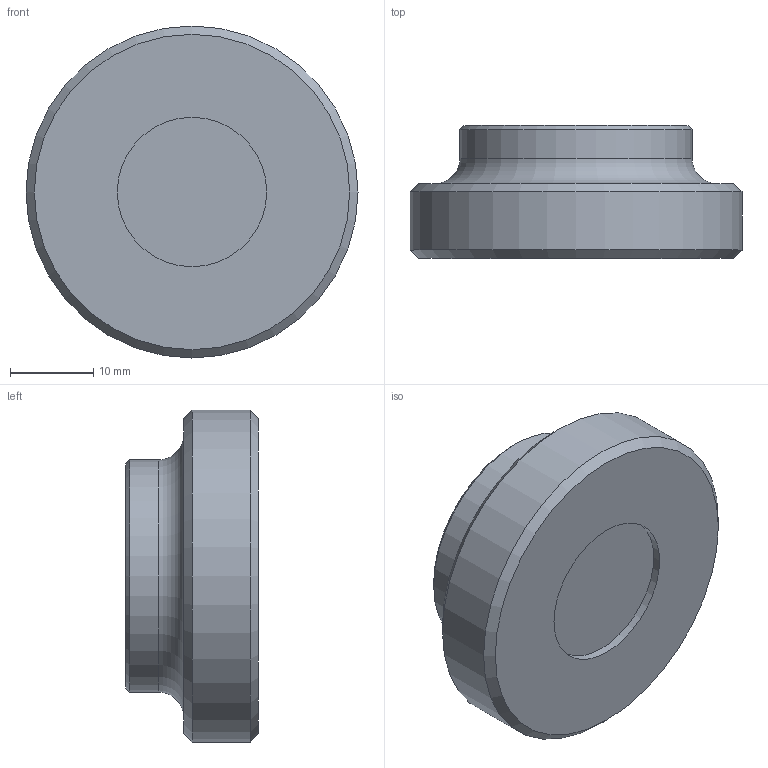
import cadquery as cq
import math

flange_diameter = 40.0
flange_thickness = 9.0
flange_chamfer = 1.0
hub_diameter = 28.0
hub_chamfer = 0.5
total_length = 16.0
neck_fillet = 3.0
recess_diameter = 18.0
recess_depth = 1.0


def make_flange():
    """Disc with both rims chamfered; its front face lies at Y = 0."""
    disc = cq.Workplane("XZ").circle(flange_diameter / 2).extrude(-flange_thickness)
    return disc.edges().chamfer(flange_chamfer)


def make_hub():
    """Cylinder that runs from the front face to the back, with its back rim chamfered."""
    cylinder = cq.Workplane("XZ").circle(hub_diameter / 2).extrude(-total_length)
    return cylinder.faces(">Y").edges().chamfer(hub_chamfer)


def make_neck_ring():
    """Concave fillet ring that blends the hub into the back face of the flange."""
    hub_radius = hub_diameter / 2
    fillet_end = flange_thickness + neck_fillet
    mid_offset = neck_fillet * (1 - math.cos(math.radians(45)))
    profile = (
        cq.Workplane("XY")
        .moveTo(0, flange_thickness)
        .lineTo(hub_radius + neck_fillet, flange_thickness)
        .threePointArc(
            (hub_radius + mid_offset, flange_thickness + mid_offset),
            (hub_radius, fillet_end),
        )
        .lineTo(0, fillet_end)
        .close()
    )
    return profile.revolve(360, (0, 0, 0), (0, 1, 0))


def make_recess():
    """Shallow round pocket cut into the front face."""
    return cq.Workplane("XZ").circle(recess_diameter / 2).extrude(-recess_depth)


result = make_flange().union(make_hub()).union(make_neck_ring()).cut(make_recess())